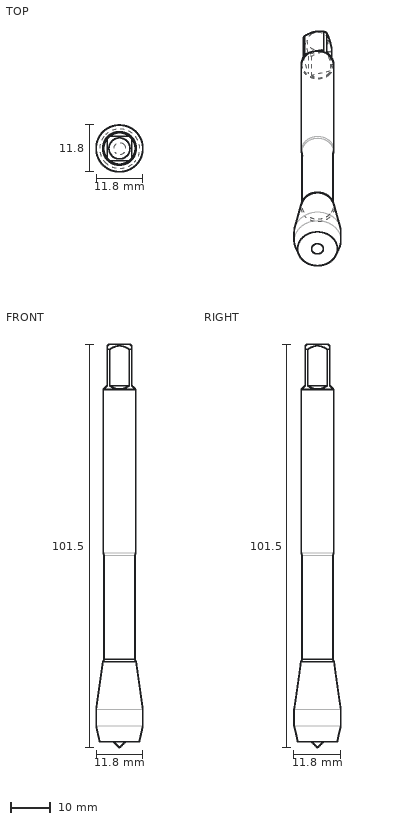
import cadquery as cq
import math

total_length = 101.5

head_diameter = 11.82
collar_diameter = 8.42
head_end_diameter = 10.0
point_height = 1.5
lead_length = 4.0
land_length = 4.15
taper_length = 11.95
collar_fillet_height = 0.72

shank_diameter = 8.2
neck_diameter = 7.87
shank_length = 41.05
neck_shoulder_height = 0.6

square_diameter = 7.9
square_width = 6.2
square_length = 10.45
square_end_diameter = 5.3
square_chamfer_angle = 45.0

lead_bottom = point_height
land_bottom = lead_bottom + lead_length
taper_bottom = land_bottom + land_length
collar_top = taper_bottom + taper_length
head_top = collar_top + collar_fillet_height
flats_bottom = total_length - square_length
flats_runout = (square_diameter - square_width) / 2
shank_chamfer_height = (shank_diameter - square_diameter) / 2
shank_top = flats_bottom - flats_runout - shank_chamfer_height
shank_bottom = shank_top - shank_length


def make_head():
    """Head with a 90 degree centre point, a lead cone, a land, a taper and a fillet up to the neck."""
    point_radius = point_height
    head_radius = head_diameter / 2
    neck_radius = neck_diameter / 2
    fillet_width = collar_diameter / 2 - neck_radius
    fillet_radius = (fillet_width**2 + collar_fillet_height**2) / (2 * fillet_width)
    half_angle = math.asin(collar_fillet_height / fillet_radius) / 2
    fillet_middle = (
        neck_radius + fillet_radius * (1 - math.cos(half_angle)),
        head_top - fillet_radius * math.sin(half_angle),
    )
    return (
        cq.Workplane("XZ")
        .moveTo(0, 0)
        .lineTo(point_radius, lead_bottom)
        .lineTo(head_end_diameter / 2, lead_bottom)
        .lineTo(head_radius, land_bottom)
        .lineTo(head_radius, taper_bottom)
        .lineTo(collar_diameter / 2, collar_top)
        .threePointArc(fillet_middle, (neck_radius, head_top))
        .lineTo(0, head_top)
        .close()
        .revolve(360, (0, 0), (0, 1))
    )


def make_flat_cutter():
    """Cutter for one drive flat, running out of the shank on a 45 degree slope."""
    flat_distance = square_width / 2
    reach = square_diameter / 2
    return (
        cq.Workplane("YZ")
        .moveTo(flat_distance, total_length)
        .lineTo(flat_distance, flats_bottom)
        .lineTo(reach, flats_bottom - flats_runout)
        .lineTo(reach, total_length)
        .close()
        .extrude(square_diameter / 2, both=True)
    )


def make_shank():
    """Neck and shank turned as one piece, with a square drive on the top end."""
    neck_radius = neck_diameter / 2
    shank_radius = shank_diameter / 2
    square_radius = square_diameter / 2
    end_radius = square_end_diameter / 2
    end_chamfer_height = (square_radius - end_radius) * math.tan(math.radians(square_chamfer_angle))
    shank = (
        cq.Workplane("XZ")
        .moveTo(0, head_top)
        .lineTo(neck_radius, head_top)
        .lineTo(neck_radius, shank_bottom - neck_shoulder_height)
        .lineTo(shank_radius, shank_bottom)
        .lineTo(shank_radius, shank_top)
        .lineTo(square_radius, shank_top + shank_chamfer_height)
        .lineTo(square_radius, total_length - end_chamfer_height)
        .lineTo(end_radius, total_length)
        .lineTo(0, total_length)
        .close()
        .revolve(360, (0, 0), (0, 1))
    )
    flat_cutter = make_flat_cutter()
    for angle in (0, 90, 180, 270):
        shank = shank.cut(flat_cutter.rotate((0, 0, 0), (0, 0, 1), angle))
    return shank


head = make_head()
shank = make_shank()

result = cq.Compound.makeCompound([head.val(), shank.val()])